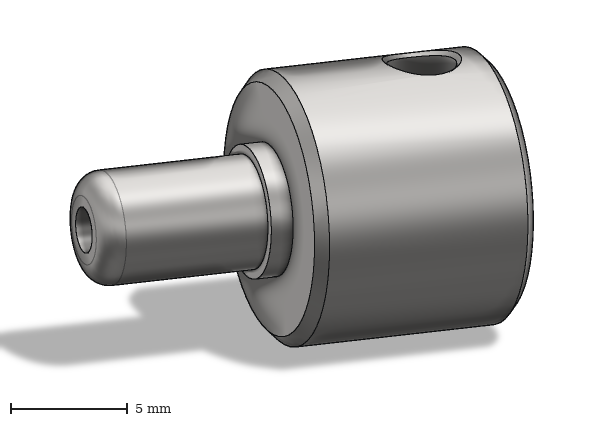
import cadquery as cq

total_length = 18.5
head_length = 10.0
collar_length = 1.0
pin_length = total_length - head_length - collar_length

head_diameter = 12.0
collar_diameter = 5.83
pin_diameter = 5.0
bore_diameter = 2.0
socket_diameter = 5.01

pin_round = 1.0
front_chamfer = 0.5
back_chamfer = 0.4

socket_depth = head_length

screw_hole_diameter = 3.0
screw_hole_from_back = 3.0
mouth_chamfer = 0.2


def cylinder(diameter, start_y, length):
    """Cylinder on the Y axis, extending from start_y toward +Y."""
    return cq.Workplane(
        cq.Plane(origin=(0, start_y, 0), xDir=(1, 0, 0), normal=(0, 1, 0))
    ).circle(diameter / 2).extrude(length)


head = cylinder(head_diameter, pin_length + collar_length, head_length)
head = head.faces("<Y").edges().chamfer(front_chamfer)
head = head.faces(">Y").edges().chamfer(back_chamfer)
collar = cylinder(collar_diameter, pin_length, collar_length)
pin = cylinder(pin_diameter, 0, pin_length).faces("<Y").edges().fillet(pin_round)
body = head.union(collar).union(pin)

bore = cylinder(bore_diameter, 0, total_length)
socket = cylinder(socket_diameter, total_length - socket_depth, socket_depth)
body = body.cut(bore).cut(socket)

screw_y = total_length - screw_hole_from_back
screw_plane = cq.Workplane("XY", origin=(0, screw_y, 0))
screw_hole = screw_plane.circle(screw_hole_diameter / 2).extrude(head_diameter / 2)
body = body.cut(screw_hole)

mouth_box = cq.selectors.BoxSelector(
    (-screw_hole_diameter, screw_y - screw_hole_diameter, head_diameter / 4),
    (screw_hole_diameter, screw_y + screw_hole_diameter, head_diameter),
    boundingbox=True,
)
result = body.edges(mouth_box).chamfer(mouth_chamfer)